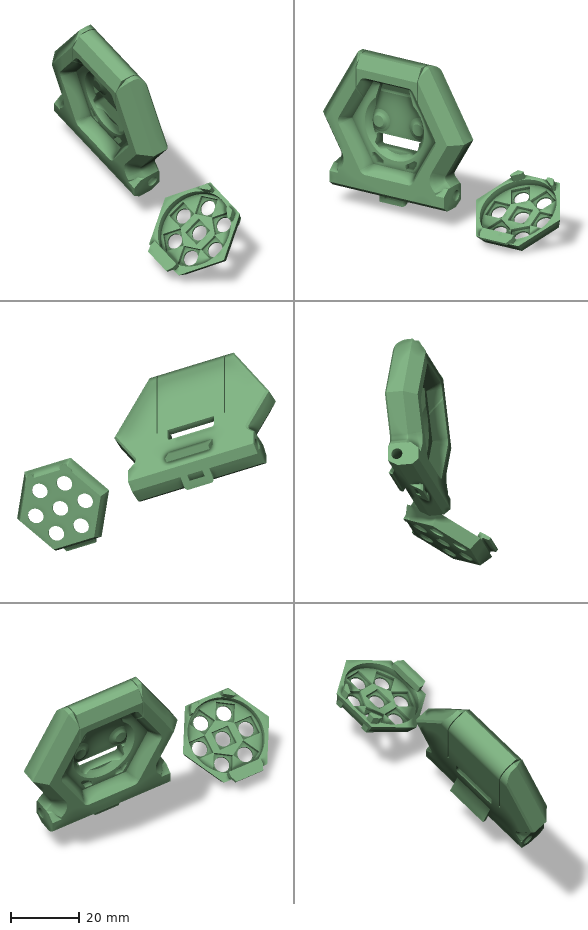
import cadquery as cq
import math


hex_radius = 24.9
frame_depth = 9.2
front_bevel_depth = 3.65
front_bevel_width = 3.07
rear_chamfer = 0.6
top_round = 4.2
hex_flat = hex_radius * math.cos(math.radians(30))

shoulder_corner = (17.9, -12.1)
shoulder_end_z = -14.4
waist_radius = 1.4
shoulder_bottom_z = -20.0

bar_half_length = 20.2
bar_top_z = -14.5
bar_bottom_z = -21.4
bar_bevel_y = 2.3
bar_bevel_z = -16.5
bar_foot_chamfer = (1.9, 1.5)
bore_diameter = 3.3
bore_y = 6.55
bore_z = -17.8
bed_angle = 30
bed_drop = 3.0

recess_depth = 4.2
recess_flat = 15.2
recess_floor_flat = 12.95
floor_rear_y = 6.0

window_front_diameter = 20.9
window_rear_diameter = 17.8
gate_gap = 0.3
gate_opening = [(5.06, 12.95), (8.1, 3.5)]
tunnel_width = 14.9
tunnel_bottom_z = -7.95
tunnel_corner = 0.8

socket_outline = [(8.0, -9.3), (6.95, -9.1), (3.9, -11.0), (4.0, -12.4), (6.4, -12.4), (7.7, -10.5)]
socket_depth = 1.6
peg_clearance = 0.35
peg_height = 2.5

leg_width = 13.9
leg_thickness = 1.2
leg_reach = 4.75
loop_width = 9.3
loop_bottom_z = 1.2 * bar_bottom_z
loop_front_y = 2.5
loop_chamfer = 0.6
loop_hole_width = 4.9
loop_hole_height = 0.95

gate_half_width = 10.7
gate_bottom_z = 4.0
gate_bevel = (2.2, 3.9)
plate_front_y = 7.6
plate_bottom_z = -3.97
plate_step = 0.55
plate_step_z = 9.3
knob_x = 6.9
knob_base_diameter = 7.0
knob_shoulder_diameter = 5.2
knob_tip_diameter = 3.6
knob_height = 1.0
knob_shoulder_height = 0.4

cover_center = (42.68, 5.6, -17.2)
cover_radius = 14.8
cover_thickness = 4.05
cover_taper = 1.55
cup_diameter = 23.5
cup_depth = 2.35
cell_pitch = 7.95
cell_size = 5.75
cell_depth = 1.1
cell_hole_diameter = 4.7
outer_cells = 6
tab_root_width = 10.9
tab_tip_width = 9.2
tab_narrowing_reach = 12.4
tab_profile = [(10.8, 0), (10.8, 2.2), (14.4, 2.15), (14.3, 1.2), (12.4, 0.9), (12.4, 0), (12.0, -1), (11.4, -1)]


def hexagon(flat, y):
    """A hexagon with two vertices on X, drawn in the XZ plane at depth y."""
    diameter = 2 * flat / math.cos(math.radians(30))
    return cq.Workplane("XZ", origin=(0, y, 0)).polygon(6, diameter)


def side_profile(points, half_width):
    """A YZ outline extruded evenly to both sides of X = 0."""
    return cq.Workplane("YZ").polyline(points).close().extrude(half_width, both=True)


def front_box(half_width, z_low, z_high, y_low, y_high):
    size = (2 * half_width, y_high - y_low, z_high - z_low)
    return cq.Workplane("XY").box(*size, centered=(True, False, False)).translate((0, y_low, z_low))


def recess():
    """Hexagonal recess whose walls flare from a sharp-cornered floor to a round-cornered mouth."""
    flare = math.degrees(math.atan((recess_flat - recess_floor_flat) / recess_depth))
    return hexagon(recess_floor_flat, recess_depth).extrude(recess_depth, taper=-flare)


def floor_slab():
    return hexagon(recess_floor_flat, recess_depth).extrude(recess_depth - floor_rear_y)


def window():
    """Tapered round hole in the recess floor, opened upwards by a trapezoid."""
    thickness = floor_rear_y - recess_depth
    narrowing = (window_front_diameter - window_rear_diameter) / 2
    taper = math.degrees(math.atan(narrowing / thickness))
    floor = cq.Workplane("XZ", origin=(0, recess_depth, 0))
    hole = floor.circle(window_front_diameter / 2).extrude(-thickness, taper=taper)
    left = [(-x, z) for x, z in reversed(gate_opening)]
    opening = floor.polyline(gate_opening + left).close().extrude(-thickness)
    return hole.union(opening)


def below_bed():
    """Half space under the sloped plane that the frame and its feet rest on."""
    size = 100
    block = cq.Workplane("XY").box(size, size, size, centered=(True, True, False))
    block = block.translate((0, 0, -size - bed_drop))
    return block.rotate((0, 0, 0), (1, 0, 0), bed_angle).translate((0, bore_y, bore_z))


def rounded_top():
    """Everything under the flat top with its round rear edge."""
    limit = front_box(2 * hex_radius, 2 * bar_bottom_z, hex_flat, 0, frame_depth)
    return limit.edges(">Z and >Y").fillet(top_round)


def frame_outline():
    """Hexagon that narrows to a filleted waist and widens again into the base bar."""
    corner_x, corner_z = shoulder_corner
    half = hex_radius / 2
    right = [
        (half, hex_flat),
        (hex_radius, 0),
        (corner_x, corner_z),
        (bar_half_length, shoulder_end_z),
        (bar_half_length, shoulder_bottom_z),
    ]
    left = [(-x, z) for x, z in reversed(right)]
    outline = cq.Sketch().polygon(right + left + right[:1])
    reach = 0.1
    waist = cq.selectors.BoxSelector(
        (-corner_x - reach, corner_z - reach, -1), (corner_x + reach, corner_z + reach, 1)
    )
    return outline.vertices(waist).fillet(waist_radius)


def frame_ring():
    fold = cq.Workplane("XZ", origin=(0, front_bevel_depth, 0)).placeSketch(frame_outline())
    taper = math.degrees(math.atan(front_bevel_width / front_bevel_depth))
    bevelled = fold.extrude(front_bevel_depth, taper=taper)
    straight = fold.extrude(front_bevel_depth - frame_depth)
    straight = straight.faces(">Y").edges("not(<Z or >Z)").chamfer(rear_chamfer)
    return straight.union(bevelled).intersect(rounded_top())


def base_bar():
    chamfer_y, chamfer_z = bar_foot_chamfer
    profile = [
        (0, bar_bevel_z),
        (bar_bevel_y, bar_top_z),
        (frame_depth - rear_chamfer, bar_top_z),
        (frame_depth, bar_top_z - rear_chamfer),
        (frame_depth, bar_bottom_z),
        (chamfer_y, bar_bottom_z),
        (0, bar_bottom_z + chamfer_z),
    ]
    return side_profile(profile, bar_half_length)


def rear_leg():
    """Sloped plate that stands square on the bed plane behind the bar."""
    angle = math.radians(bed_angle)
    along = (math.cos(angle), math.sin(angle))
    up = (-math.sin(angle), math.cos(angle))

    def at(reach, height):
        return (bore_y + reach * along[0] + height * up[0], bore_z + reach * along[1] + height * up[1])

    profile = [
        at(leg_reach, -bed_drop),
        at(leg_reach, bed_drop),
        at(leg_reach - leg_thickness, bed_drop),
        at(leg_reach - leg_thickness, -bed_drop),
    ]
    return side_profile(profile, leg_width / 2)


def front_loop():
    loop = front_box(loop_width / 2, loop_bottom_z, bar_bottom_z, loop_front_y, frame_depth)
    loop = loop.faces("<Y").edges("|Z").chamfer(loop_chamfer)
    hole = front_box(loop_hole_width / 2, bar_bottom_z - loop_hole_height, bar_bottom_z, 0, frame_depth)
    return loop.cut(hole)


def peg_pair(clearance, length):
    """The two mirrored peg prisms, drawn in XZ and growing towards +Y."""
    outline = cq.Workplane("XZ").polyline(socket_outline).close()
    if clearance:
        outline = outline.offset2D(-clearance)
    peg = outline.extrude(-length)
    return peg.union(peg.mirror("YZ"))


def make_frame():
    frame = frame_ring().union(base_bar()).union(rear_leg()).union(front_loop()).cut(below_bed())
    frame = frame.cut(recess()).cut(window())
    tunnel = front_box(tunnel_width / 2, tunnel_bottom_z, 0, floor_rear_y - 1, frame_depth)
    frame = frame.cut(tunnel.edges("|Y and <Z").fillet(tunnel_corner))
    gate_space = gate_half_width + gate_gap
    pocket = front_box(gate_space, plate_bottom_z, hex_flat, floor_rear_y, frame_depth)
    bar_gap = front_box(gate_space, gate_bottom_z, hex_flat, 0, frame_depth).cut(floor_slab())
    frame = frame.cut(pocket).cut(bar_gap)
    frame = frame.cut(peg_pair(0, socket_depth).translate((0, recess_depth, 0)))
    bore = cq.Workplane("YZ").center(bore_y, bore_z).circle(bore_diameter / 2)
    return frame.cut(bore.extrude(bar_half_length, both=True))


def knobs():
    """Two stepped conical knobs on the front of the plate."""
    base = knob_base_diameter / 2
    shoulder = knob_shoulder_diameter / 2
    tip = knob_tip_diameter / 2
    profile = [(0, 0), (base, 0), (shoulder, knob_shoulder_height), (tip, knob_height), (0, knob_height)]
    knob = cq.Workplane("XY").polyline(profile).close().revolve(360, (0, 0), (0, 1))
    knob = knob.rotate((0, 0, 0), (0, 0, 1), 180).translate((0, plate_front_y - plate_step, 0))
    return [knob.translate((x, 0, 0)) for x in (-knob_x, knob_x)]


def make_gate():
    bevel_y, bevel_z = gate_bevel
    lower_front = plate_front_y - plate_step
    profile = [
        (0, gate_bottom_z),
        (0, hex_flat - bevel_z),
        (bevel_y, hex_flat),
        (frame_depth, hex_flat),
        (frame_depth, plate_bottom_z),
        (lower_front, plate_bottom_z),
        (lower_front, plate_step_z),
        (plate_front_y, plate_step_z + plate_step),
        (plate_front_y, recess_floor_flat),
        (floor_rear_y, recess_floor_flat),
        (floor_rear_y, gate_bottom_z),
    ]
    gate = side_profile(profile, gate_half_width).intersect(rounded_top())
    gate = gate.cut(recess()).cut(floor_slab())
    for knob in knobs():
        gate = gate.union(knob)
    return gate


def cover_cells():
    """Square pockets with round holes: one in the middle and six around it."""
    floor = cq.Workplane("XY", origin=(0, 0, -cup_depth))
    cell = floor.rect(cell_size, cell_size).extrude(-cell_depth)
    cell = cell.union(floor.circle(cell_hole_diameter / 2).extrude(-cover_thickness))
    outer = cell.translate((cell_pitch, 0, 0))
    step = 360 / outer_cells
    return [cell] + [outer.rotate((0, 0, 0), (0, 0, 1), step * i) for i in range(outer_cells)]


def cover_tab():
    """Hooked tab on the cover's rim that narrows towards its tip."""
    tab = side_profile([(-reach, height) for reach, height in tab_profile], tab_root_width / 2)
    root_y = -tab_profile[0][0]
    tip_y = -max(reach for reach, height in tab_profile)
    root = tab_root_width / 2
    tip = tab_tip_width / 2
    right = [(root, root_y), (root, -tab_narrowing_reach), (tip, tip_y)]
    left = [(-x, y) for x, y in reversed(right)]
    limit = cq.Workplane("XY").polyline(right + left).close().extrude(2 * cover_thickness, both=True)
    return tab.intersect(limit)


def cover_pegs():
    """Pegs that fit the sockets when the cover is closed."""
    pegs = peg_pair(peg_clearance, peg_height + cover_thickness)
    return pegs.rotate((0, 0, 0), (1, 0, 0), 90).translate((0, 0, -cover_thickness))


def make_cover():
    taper = math.degrees(math.atan(cover_taper / cover_thickness))
    cover = cq.Workplane("XY").polygon(6, 2 * cover_radius).extrude(-cover_thickness, taper=taper)
    cover = cover.cut(cq.Workplane("XY").circle(cup_diameter / 2).extrude(-cup_depth))
    for cell in cover_cells():
        cover = cover.cut(cell)
    cover = cover.union(cover_tab()).union(cover_pegs())
    return cover.rotate((0, 0, 0), (1, 0, 0), bed_angle).translate(cover_center)


frame = make_frame()
gate = make_gate()
cover = make_cover()
result = cq.Compound.makeCompound([frame.val(), gate.val(), cover.val()])